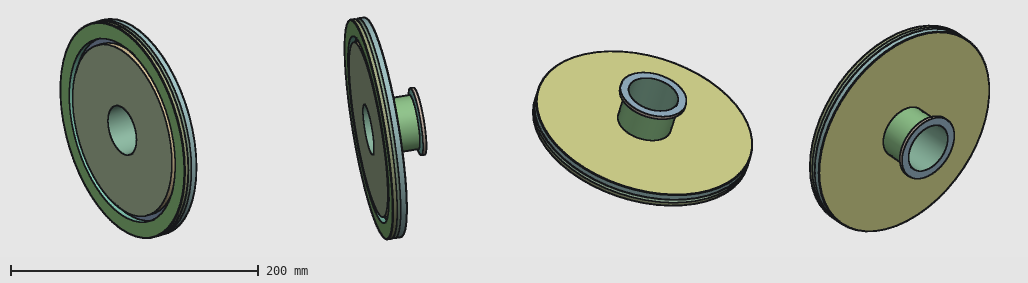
import cadquery as cq

outer_diameter = 180.0
total_length = 42.0

disc_thickness = 12.0
edge_chamfer = 0.5

rim_groove_radius = 1.5
rim_groove_offset = 5.2

ring_inner_diameter = 143.3
ring_outer_diameter = 153.0
ring_depth = 5.0

bore_diameter = 41.2
tube_diameter = 44.5
flange_diameter = 55.0
flange_rim_thickness = 2.9
flange_taper_length = 1.5


def half_section():
    """Half section of the solid: X is the radius, Y the part axis, front face at Y = 0."""
    outer_radius = outer_diameter / 2
    tube_radius = tube_diameter / 2
    flange_radius = flange_diameter / 2
    bore_radius = bore_diameter / 2
    rim_start = total_length - flange_rim_thickness
    taper_start = rim_start - flange_taper_length
    return (
        cq.Workplane("XY")
        .moveTo(bore_radius, 0)
        .lineTo(outer_radius - edge_chamfer, 0)
        .lineTo(outer_radius, edge_chamfer)
        .lineTo(outer_radius, rim_groove_offset - rim_groove_radius)
        .threePointArc(
            (outer_radius - rim_groove_radius, rim_groove_offset),
            (outer_radius, rim_groove_offset + rim_groove_radius),
        )
        .lineTo(outer_radius, disc_thickness - edge_chamfer)
        .lineTo(outer_radius - edge_chamfer, disc_thickness)
        .lineTo(tube_radius, disc_thickness)
        .lineTo(tube_radius, taper_start)
        .lineTo(flange_radius, rim_start)
        .lineTo(flange_radius, total_length)
        .lineTo(bore_radius, total_length)
        .close()
    )


def ring_groove():
    """Ring cut into the front face, which lies at Y = 0."""
    return (
        cq.Workplane("XZ")
        .circle(ring_outer_diameter / 2)
        .circle(ring_inner_diameter / 2)
        .extrude(-ring_depth)
    )


body = half_section().revolve(360, (0, 0, 0), (0, 1, 0))
result = body.cut(ring_groove())